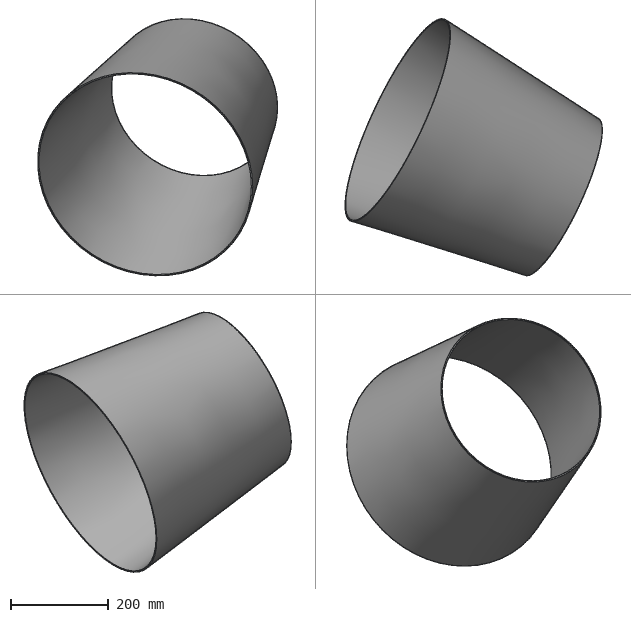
import cadquery as cq

large_diameter = 457.0
small_diameter = 355.5
length = 381.0
wall = 3.0

large_radius = large_diameter / 2
small_radius = small_diameter / 2

wall_section = [
    (large_radius - wall, -length / 2),
    (large_radius, -length / 2),
    (small_radius, length / 2),
    (small_radius - wall, length / 2),
]

result = (
    cq.Workplane("XY")
    .polyline(wall_section)
    .close()
    .revolve(360, (0, 0, 0), (0, 1, 0))
)